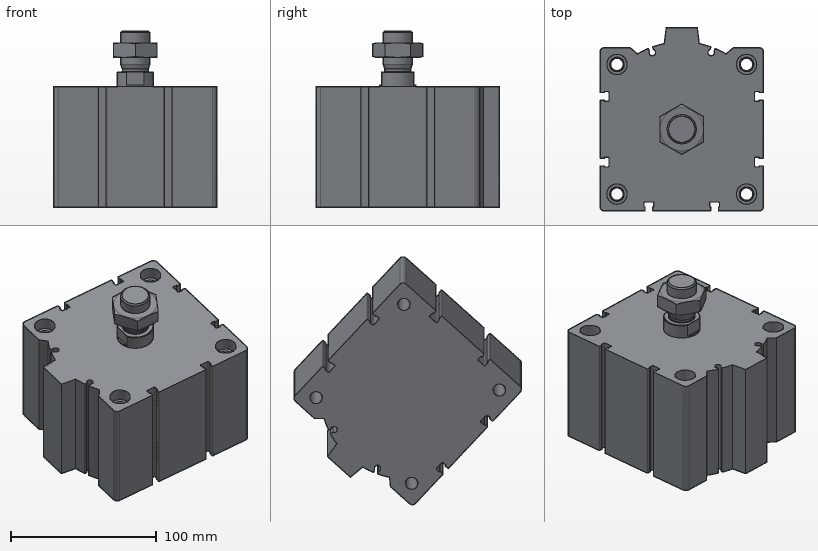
import cadquery as cq
import math

TOTAL_DEPTH = 125.9
TOTAL_HEIGHT = 121.0

HOUSING_SIDE = 112.2
HOUSING_HEIGHT = 83.0
CORNER_RADIUS = 3.0
HALF_SIDE = HOUSING_SIDE / 2

DOME_RADIUS = 60.0
DOME_HALF_WIDTH = 30.5
DOME_BASE_Y = math.sqrt(DOME_RADIUS**2 - DOME_HALF_WIDTH**2)
RECESS_HALF_WIDTH = 35.4
RIB_ROOT_HALF_WIDTH = 12.1
RIB_TIP_HALF_WIDTH = 10.7
RIB_TIP_Y = TOTAL_DEPTH - HALF_SIDE

KEYHOLE_ANGLE = 21.0
KEYHOLE_CENTRE_RADIUS = 56.4
KEYHOLE_DIAMETER = 4.3
KEYHOLE_NECK_WIDTH = 2.9

SLOT_OFFSET = 22.5
SLOT_MOUTH_WIDTH = 5.2
SLOT_MOUTH_DEPTH = 2.9
SLOT_FLOOR_WIDTH = 6.5
SLOT_DEPTH = 6.0
SLOT_ROUNDING = 0.5
SLOT_SIDE_ANGLES = (-90, 0, 90)

HOLE_SPACING = 89.0
HOLE_DIAMETER = 8.4
HOLE_CHAMFER = 0.8
COUNTERBORE_DIAMETER = 14.0
COUNTERBORE_DEPTH = 9.0

ROD_LENGTH = TOTAL_HEIGHT - HOUSING_HEIGHT
COLLAR_DIAMETER = 25.0
COLLAR_HEIGHT = 10.0
COLLAR_CHAMFER = 0.4
FLATS_WIDTH = 22.0
FLATS_START = 1.0
NECK_DIAMETER = 17.9
NECK_END_DIAMETER = 18.4
NECK_FLARE = 0.5
NECK_TOP = 12.5
THREAD_DIAMETER = 20.0
THREAD_START = 15.2
TIP_CHAMFER = 1.0

NUT_WIDTH = 30.0
NUT_HEIGHT = 10.0
NUT_BOTTOM = 20.0
NUT_FACE_DIAMETER = 29.7
NUT_CHAMFER_ANGLE = 15


def head():
    """Dome with the rib on top of it, as tall as the housing."""
    rib_root_y = math.sqrt(DOME_RADIUS**2 - RIB_ROOT_HALF_WIDTH**2)
    return (
        cq.Workplane("XY")
        .moveTo(-DOME_HALF_WIDTH, DOME_BASE_Y)
        .radiusArc((-RIB_ROOT_HALF_WIDTH, rib_root_y), DOME_RADIUS)
        .lineTo(-RIB_TIP_HALF_WIDTH, RIB_TIP_Y)
        .lineTo(RIB_TIP_HALF_WIDTH, RIB_TIP_Y)
        .lineTo(RIB_ROOT_HALF_WIDTH, rib_root_y)
        .radiusArc((DOME_HALF_WIDTH, DOME_BASE_Y), DOME_RADIUS)
        .close()
        .extrude(HOUSING_HEIGHT)
    )


def head_recess():
    """Trapezoid cut into the +Y side, where the head stands."""
    return (
        cq.Workplane("XY")
        .moveTo(-RECESS_HALF_WIDTH, HALF_SIDE)
        .lineTo(-DOME_HALF_WIDTH, DOME_BASE_Y)
        .lineTo(DOME_HALF_WIDTH, DOME_BASE_Y)
        .lineTo(RECESS_HALF_WIDTH, HALF_SIDE)
        .close()
        .extrude(HOUSING_HEIGHT)
    )


def keyhole(angle):
    """Round groove with a narrower neck that opens through the dome."""
    neck_length = RIB_TIP_Y - KEYHOLE_CENTRE_RADIUS
    neck = (
        cq.Workplane("XY")
        .center(0, KEYHOLE_CENTRE_RADIUS + neck_length / 2)
        .rect(KEYHOLE_NECK_WIDTH, neck_length)
        .extrude(HOUSING_HEIGHT)
    )
    bottom = (
        cq.Workplane("XY")
        .center(0, KEYHOLE_CENTRE_RADIUS)
        .circle(KEYHOLE_DIAMETER / 2)
        .extrude(HOUSING_HEIGHT)
    )
    return neck.union(bottom).rotate((0, 0, 0), (0, 0, 1), angle)


def t_slot(offset, side_angle):
    """T-shaped slot in the -Y side, turned about Z to its own side."""
    side_y = -HALF_SIDE
    lip_y = side_y + SLOT_ROUNDING
    inner_y = side_y + SLOT_MOUTH_DEPTH
    half_mouth = SLOT_MOUTH_WIDTH / 2
    half_opening = half_mouth + SLOT_ROUNDING
    mouth = (
        cq.Workplane("XY")
        .moveTo(offset - half_opening, side_y)
        .radiusArc((offset - half_mouth, lip_y), -SLOT_ROUNDING)
        .lineTo(offset - half_mouth, inner_y)
        .lineTo(offset + half_mouth, inner_y)
        .lineTo(offset + half_mouth, lip_y)
        .radiusArc((offset + half_opening, side_y), -SLOT_ROUNDING)
        .close()
        .extrude(HOUSING_HEIGHT)
    )
    inner_depth = SLOT_DEPTH - SLOT_MOUTH_DEPTH
    inner = (
        cq.Workplane("XY")
        .center(offset, inner_y + inner_depth / 2)
        .rect(SLOT_FLOOR_WIDTH, inner_depth)
        .extrude(HOUSING_HEIGHT)
        .faces(">Y")
        .edges("|Z")
        .fillet(SLOT_ROUNDING)
    )
    return mouth.union(inner).rotate((0, 0, 0), (0, 0, 1), side_angle)


def mounting_hole():
    """Counterbored through hole on the Z axis, chamfered at the counterbore floor."""
    hole_radius = HOLE_DIAMETER / 2
    chamfer_radius = hole_radius + HOLE_CHAMFER
    bore_radius = COUNTERBORE_DIAMETER / 2
    floor_z = HOUSING_HEIGHT - COUNTERBORE_DEPTH
    return (
        cq.Workplane("XZ")
        .lineTo(hole_radius, 0)
        .lineTo(hole_radius, floor_z - HOLE_CHAMFER)
        .lineTo(chamfer_radius, floor_z)
        .lineTo(bore_radius, floor_z)
        .lineTo(bore_radius, HOUSING_HEIGHT)
        .lineTo(0, HOUSING_HEIGHT)
        .close()
        .revolve(360, (0, 0), (0, 1))
    )


def make_housing():
    body = (
        cq.Workplane("XY")
        .rect(HOUSING_SIDE, HOUSING_SIDE)
        .extrude(HOUSING_HEIGHT)
        .edges("|Z")
        .fillet(CORNER_RADIUS)
        .cut(head_recess())
        .union(head())
    )
    for side in (-1, 1):
        body = body.cut(keyhole(side * KEYHOLE_ANGLE))
        for side_angle in SLOT_SIDE_ANGLES:
            body = body.cut(t_slot(side * SLOT_OFFSET, side_angle))
    half_spacing = HOLE_SPACING / 2
    for x in (-half_spacing, half_spacing):
        for y in (-half_spacing, half_spacing):
            body = body.cut(mounting_hole().translate((x, y, 0)))
    return body


def make_rod():
    """Rod that stands on the housing: collar with two flats, neck and thread."""
    collar_radius = COLLAR_DIAMETER / 2
    neck_radius = NECK_DIAMETER / 2
    neck_end_radius = NECK_END_DIAMETER / 2
    thread_radius = THREAD_DIAMETER / 2
    rod = (
        cq.Workplane("XZ")
        .lineTo(collar_radius, 0)
        .lineTo(collar_radius, COLLAR_HEIGHT - COLLAR_CHAMFER)
        .lineTo(collar_radius - COLLAR_CHAMFER, COLLAR_HEIGHT)
        .lineTo(neck_end_radius, COLLAR_HEIGHT)
        .lineTo(neck_radius, COLLAR_HEIGHT + NECK_FLARE)
        .lineTo(neck_radius, NECK_TOP - NECK_FLARE)
        .lineTo(neck_end_radius, NECK_TOP)
        .lineTo(thread_radius, THREAD_START)
        .lineTo(thread_radius, ROD_LENGTH - TIP_CHAMFER)
        .lineTo(thread_radius - TIP_CHAMFER, ROD_LENGTH)
        .lineTo(0, ROD_LENGTH)
        .close()
        .revolve(360, (0, 0), (0, 1))
    )
    between_flats = (
        cq.Workplane("XY")
        .workplane(offset=FLATS_START)
        .rect(COLLAR_DIAMETER, FLATS_WIDTH)
        .extrude(ROD_LENGTH - FLATS_START)
    )
    base = cq.Workplane("XY").circle(collar_radius).extrude(FLATS_START)
    rod = rod.intersect(between_flats.union(base))
    return rod.translate((0, 0, HOUSING_HEIGHT))


def make_nut():
    """Hexagon nut with corners on the Y axis, chamfered on both end faces."""
    corner_radius = NUT_WIDTH / 2 / math.cos(math.radians(30))
    face_radius = NUT_FACE_DIAMETER / 2
    blank_radius = NUT_WIDTH
    chamfer_height = (blank_radius - face_radius) * math.tan(math.radians(NUT_CHAMFER_ANGLE))
    chamfered_blank = (
        cq.Workplane("XZ")
        .lineTo(face_radius, 0)
        .lineTo(blank_radius, chamfer_height)
        .lineTo(blank_radius, NUT_HEIGHT - chamfer_height)
        .lineTo(face_radius, NUT_HEIGHT)
        .lineTo(0, NUT_HEIGHT)
        .close()
        .revolve(360, (0, 0), (0, 1))
    )
    nut = (
        cq.Workplane("XY")
        .polygon(6, 2 * corner_radius)
        .extrude(NUT_HEIGHT)
        .rotate((0, 0, 0), (0, 0, 1), 90)
        .intersect(chamfered_blank)
        .cut(cq.Workplane("XY").circle(THREAD_DIAMETER / 2).extrude(NUT_HEIGHT))
    )
    return nut.translate((0, 0, HOUSING_HEIGHT + NUT_BOTTOM))


housing = make_housing()
rod = make_rod()
nut = make_nut()

result = cq.Compound.makeCompound([housing.val(), rod.val(), nut.val()])